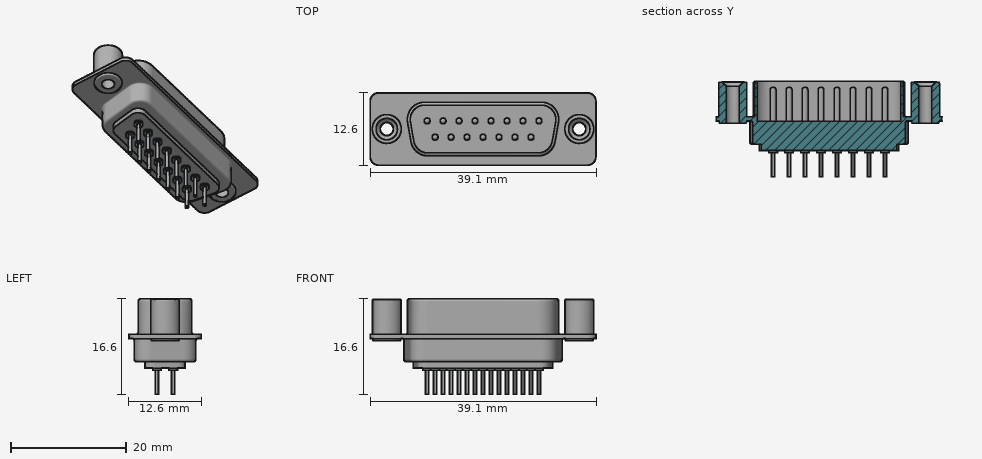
import cadquery as cq
import math


flange_length = 39.15
flange_width = 12.55
flange_thickness = 0.8
flange_corner_radius = 1.5

side_angle = math.radians(10)

front_height = 6.15
front_half_width = 4.65
front_half_length = 12.88
front_corner_radius = 3.0
shell_wall = 0.5
rim_fillet = 0.47
cavity_floor = -flange_thickness

rear_bottom = -4.8
rear_half_width = 5.35
rear_half_length = 13.25
rear_corner_radius = 2.5
rear_edge_fillet = 0.5

front_root_fillet = 0.25
rear_root_fillet = 0.27
height_tolerance = 0.005

insulator_bottom = -5.9
insulator_half_width = 3.5
insulator_half_length = 11.8
insulator_corner_radius = 1.53

post_offset = 16.67
post_top = 6.03
post_bottom = -1.17
post_diameter = 5.0
post_edge_fillet = 0.27
post_foot_diameter = 4.85
post_foot_fillet = 0.27
bore_diameter = 2.25
countersink_diameter = 3.7

pin_count_long_row = 8
pin_row_length = 19.37
pin_row_offset = 1.4
pin_pitch = pin_row_length / (pin_count_long_row - 1)
pin_diameter = 1.0
pin_tip = 5.1
collar_diameter = 1.53
collar_bottom = -6.25
tail_diameter = 0.6
tail_bottom = -10.45


def d_prism(half_length, half_width, corner_radius, bottom, top):
    """D-shaped block, longer on +Y; half_length is measured at Y = 0."""
    lean = half_width * math.tan(side_angle)
    corners = [
        (half_length + lean, half_width),
        (-half_length - lean, half_width),
        (-half_length + lean, -half_width),
        (half_length - lean, -half_width),
    ]
    block = cq.Workplane("XY").workplane(offset=bottom).polyline(corners).close().extrude(top - bottom)
    return block.edges("|Z").fillet(corner_radius)


def cylinder(diameter, bottom, top):
    """Upright cylinder on the Z axis."""
    return cq.Workplane("XY").workplane(offset=bottom).circle(diameter / 2).extrude(top - bottom)


def make_flange():
    plate = cq.Workplane("XY").rect(flange_length, flange_width).extrude(-flange_thickness)
    return plate.edges("|Z").fillet(flange_corner_radius)


def root_edges(body, height):
    """Edges of the flange face at the given height, except its own outline."""
    reach_x = flange_length / 2 - flange_corner_radius
    reach_y = flange_width / 2 - flange_corner_radius / 2
    inner_edges = cq.selectors.BoxSelector(
        (-reach_x, -reach_y, height - height_tolerance),
        (reach_x, reach_y, height + height_tolerance),
    )
    return body.edges(inner_edges)


def make_body():
    front = d_prism(front_half_length, front_half_width, front_corner_radius, 0, front_height)
    rear = d_prism(
        rear_half_length, rear_half_width, rear_corner_radius, rear_bottom, -flange_thickness)
    rear = rear.faces("<Z").edges().fillet(rear_edge_fillet)
    body = make_flange().union(front).union(rear)
    body = root_edges(body, 0).fillet(front_root_fillet)
    body = root_edges(body, -flange_thickness).fillet(rear_root_fillet)
    cavity = d_prism(
        front_half_length - shell_wall / math.cos(side_angle),
        front_half_width - shell_wall,
        front_corner_radius - shell_wall,
        cavity_floor,
        front_height,
    )
    body = body.faces(">Z").edges().fillet(rim_fillet).cut(cavity)
    insulator = d_prism(
        insulator_half_length, insulator_half_width, insulator_corner_radius,
        insulator_bottom, rear_bottom)
    return body.union(insulator)


def make_post():
    post = cylinder(post_diameter, 0, post_top).faces(">Z").edges().fillet(post_edge_fillet)
    foot = cylinder(post_foot_diameter, post_bottom, 0).faces("<Z").edges().fillet(post_foot_fillet)
    return post.union(foot)


def make_post_hole():
    """Through bore with a 45 degree countersink at the top."""
    bore = cylinder(bore_diameter, post_bottom, post_top)
    depth = (countersink_diameter - bore_diameter) / 2
    cone = cq.Solid.makeCone(
        bore_diameter / 2, countersink_diameter / 2, depth, cq.Vector(0, 0, post_top - depth))
    return bore.union(cq.Workplane(cone))


def make_pin():
    """Round-tipped contact with a collar and a thin tail below the insulator."""
    tip_radius = pin_diameter / 2
    tip_center = pin_tip - tip_radius
    pin = cylinder(pin_diameter, cavity_floor, tip_center)
    tip = cq.Workplane("XY").sphere(tip_radius).translate((0, 0, tip_center))
    collar = cylinder(collar_diameter, collar_bottom, insulator_bottom)
    tail = cylinder(tail_diameter, tail_bottom, collar_bottom)
    return pin.union(tip).union(collar).union(tail)


result = make_body()

for side in (-1, 1):
    place = (side * post_offset, 0, 0)
    result = result.union(make_post().translate(place)).cut(make_post_hole().translate(place))

for count, y in ((pin_count_long_row, pin_row_offset), (pin_count_long_row - 1, -pin_row_offset)):
    for index in range(count):
        x = (index - (count - 1) / 2) * pin_pitch
        result = result.union(make_pin().translate((x, y, 0)))